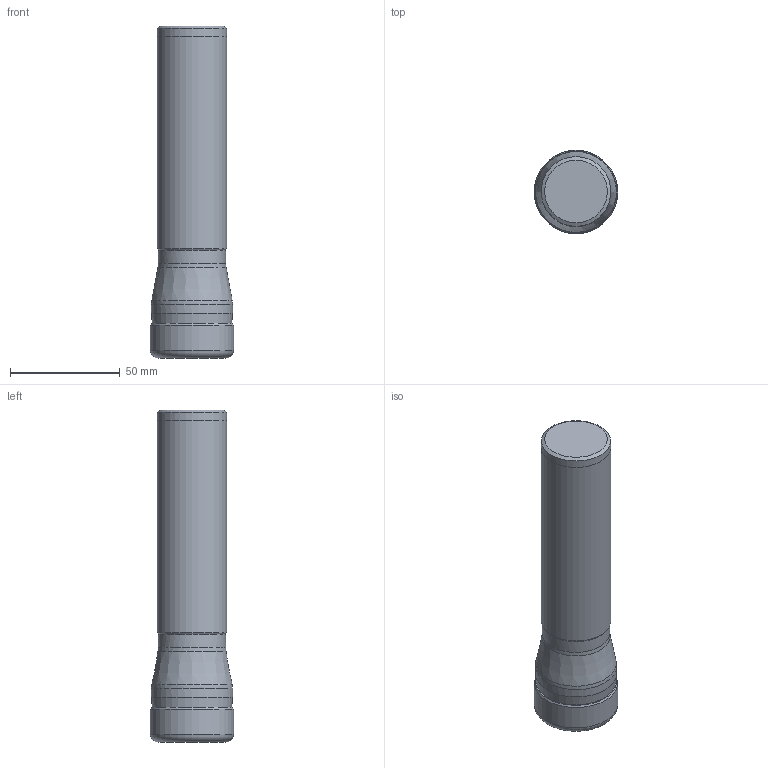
import cadquery as cq

TOTAL_HEIGHT = 151.41
CAP_HEIGHT = 4.6
CAP_BASE_Z = TOTAL_HEIGHT - CAP_HEIGHT
TUBE_BASE_Z = 49.9
TUBE_BEVEL_HEIGHT = 0.7
NECK_BEND_Z = 42.25
HEAD_BEND_Z = 25.5
HEAD_STRAIGHT_BASE_Z = 20.5
BEZEL_TOP_Z = 15.9
BEZEL_BEVEL_HEIGHT = 0.9

TUBE_RADIUS = 31.75 / 2
NECK_RADIUS = 15.4
HEAD_RADIUS = 18.5
HEAD_BASE_RADIUS = 18.1
BEZEL_RADIUS = 38.1 / 2
BEZEL_TOP_RADIUS = 18.55
CAP_TOP_RADIUS = 28.58 / 2

CAP_CHAMFER_HEIGHT = 0.95
BEND_FILLET_RADIUS = 10.0
BEZEL_FILLET_RADIUS = 3.6

SELECTION_MARGIN = 0.01


def revolve_outline(outline):
    """Revolve a closed outline of (radius, height) points about the Z axis."""
    return cq.Workplane("XZ").polyline(outline).close().revolve(360, (0, 0), (0, 1))


def fillet_circle(body, radius, height, fillet_radius):
    """Round the circular edge that lies at the given radius and height."""
    reach = radius + SELECTION_MARGIN
    around_circle = cq.selectors.BoxSelector(
        (-reach, -reach, height - SELECTION_MARGIN),
        (reach, reach, height + SELECTION_MARGIN),
        boundingbox=True,
    )
    return body.edges(around_circle).fillet(fillet_radius)


def make_housing():
    """Bezel, flared head, neck and tube as one turned body."""
    outline = [
        (0, 0),
        (BEZEL_RADIUS, 0),
        (BEZEL_RADIUS, BEZEL_TOP_Z - BEZEL_BEVEL_HEIGHT),
        (BEZEL_TOP_RADIUS, BEZEL_TOP_Z),
        (HEAD_BASE_RADIUS, BEZEL_TOP_Z),
        (HEAD_RADIUS, HEAD_STRAIGHT_BASE_Z),
        (HEAD_RADIUS, HEAD_BEND_Z),
        (NECK_RADIUS, NECK_BEND_Z),
        (NECK_RADIUS, TUBE_BASE_Z - TUBE_BEVEL_HEIGHT),
        (TUBE_RADIUS, TUBE_BASE_Z),
        (TUBE_RADIUS, CAP_BASE_Z),
        (0, CAP_BASE_Z),
    ]
    body = revolve_outline(outline)
    body = fillet_circle(body, BEZEL_RADIUS, 0, BEZEL_FILLET_RADIUS)
    body = fillet_circle(body, HEAD_RADIUS, HEAD_BEND_Z, BEND_FILLET_RADIUS)
    return fillet_circle(body, NECK_RADIUS, NECK_BEND_Z, BEND_FILLET_RADIUS)


def make_tail_cap():
    """Solid disc with a chamfered rim, seated flush on the end of the tube."""
    outline = [
        (0, CAP_BASE_Z),
        (TUBE_RADIUS, CAP_BASE_Z),
        (TUBE_RADIUS, TOTAL_HEIGHT - CAP_CHAMFER_HEIGHT),
        (CAP_TOP_RADIUS, TOTAL_HEIGHT),
        (0, TOTAL_HEIGHT),
    ]
    return revolve_outline(outline)


housing = make_housing()
tail_cap = make_tail_cap()

result = cq.Compound.makeCompound([housing.val(), tail_cap.val()])